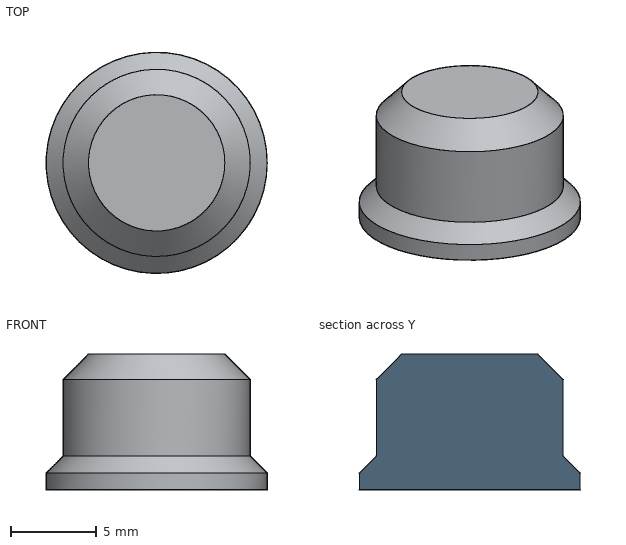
import cadquery as cq

flange_diameter = 13.0
body_diameter = 11.0
total_height = 8.0
rim_height = 1.0
top_chamfer = 1.5

flange_slope = (flange_diameter - body_diameter) / 2

flange_radius = flange_diameter / 2
body_radius = body_diameter / 2
flange_top = rim_height + flange_slope

profile = (
    cq.Workplane("XZ")
    .moveTo(0, 0)
    .lineTo(flange_radius, 0)
    .lineTo(flange_radius, rim_height)
    .lineTo(body_radius, flange_top)
    .lineTo(body_radius, total_height - top_chamfer)
    .lineTo(body_radius - top_chamfer, total_height)
    .lineTo(0, total_height)
    .close()
)

result = profile.revolve(360, (0, 0, 0), (0, 1, 0))